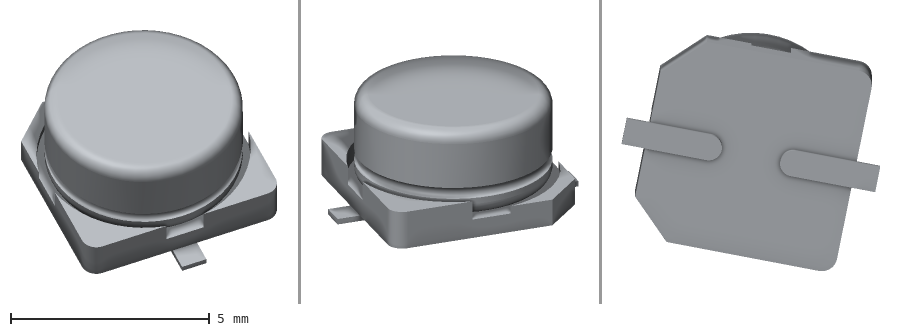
import cadquery as cq

lead_span = 6.5
base_side = 5.3
total_height = 3.0

lead_thickness = 0.15
lead_width = 0.66
lead_gap = 1.5

low_top = 0.86
high_top = 1.16
seat_floor = 0.655
seat_radius = 2.7
corner_chamfer = 1.0
corner_radius = 0.39

can_radius = 5.0 / 2
can_rounding = 0.34
groove_bottom = high_top
groove_top = 1.455
groove_radius = (groove_top - groove_bottom) / 2
arc_inset = can_rounding * (1 - 0.5 ** 0.5)


def make_base():
    """Square base, low on -X and high on +X, with a round seat for the can."""
    plate = (
        cq.Workplane("XY", origin=(0, 0, lead_thickness))
        .rect(base_side, base_side)
        .extrude(high_top - lead_thickness)
        .edges("|Z and <X").chamfer(corner_chamfer)
        .edges("|Z and >X").fillet(corner_radius)
    )
    step_cut = (
        cq.Workplane("XY", origin=(-base_side / 2, 0, low_top))
        .rect(base_side, base_side)
        .extrude(high_top - low_top)
    )
    seat = (
        cq.Workplane("XY", origin=(0, 0, seat_floor))
        .circle(seat_radius)
        .extrude(high_top - seat_floor)
    )
    return plate.cut(step_cut).cut(seat)


def make_can():
    """Can with rounded ends and a half-round groove near its bottom."""
    bottom_flat = can_radius - can_rounding
    profile = (
        cq.Workplane("XZ")
        .moveTo(0, seat_floor)
        .lineTo(bottom_flat, seat_floor)
        .threePointArc(
            (can_radius - arc_inset, seat_floor + arc_inset),
            (can_radius, seat_floor + can_rounding),
        )
        .lineTo(can_radius, groove_bottom)
        .threePointArc(
            (can_radius - groove_radius, groove_bottom + groove_radius),
            (can_radius, groove_top),
        )
        .lineTo(can_radius, total_height - can_rounding)
        .threePointArc(
            (can_radius - arc_inset, total_height - arc_inset),
            (bottom_flat, total_height),
        )
        .lineTo(0, total_height)
        .close()
    )
    return profile.revolve(360, (0, 0, 0), (0, 1, 0))


def make_lead(side):
    """Flat lead under the base with a half-round inner end; side is -1 or +1."""
    half_width = lead_width / 2
    outer_x = side * lead_span / 2
    tip_x = side * lead_gap / 2
    round_start_x = tip_x + side * half_width
    return (
        cq.Workplane("XY")
        .moveTo(outer_x, -half_width)
        .lineTo(round_start_x, -half_width)
        .threePointArc((tip_x, 0), (round_start_x, half_width))
        .lineTo(outer_x, half_width)
        .close()
        .extrude(lead_thickness)
    )


result = make_base().union(make_can())
for side in (-1, 1):
    result = result.union(make_lead(side))